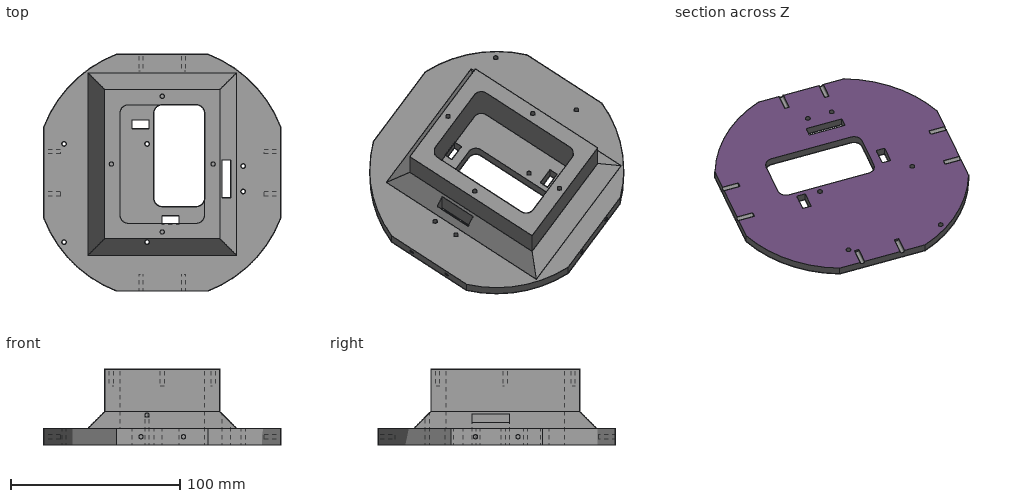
import cadquery as cq
import math

plate_width = 140.0
plate_flat_length = 53.8
plate_radius = math.hypot(plate_width / 2, plate_flat_length / 2)
plate_thickness = 10.0

collar_center_y = 5.0
pocket_width = 50.0
pocket_length = 70.0
pocket_corner_radius = 5.0
collar_wall = 9.0
collar_width = pocket_width + 2 * collar_wall
collar_length = pocket_length + 2 * collar_wall
collar_height = 25.0
skirt_overhang = 10.0
skirt_height = 10.0
skirt_top = plate_thickness + skirt_height
collar_top = skirt_top + collar_height

window_width = 30.0
window_right = pocket_width / 2
window_rear = collar_center_y + pocket_length / 2
window_length = 60.0

slot_length = 10.0
slot_width = 5.0
rear_slot_center = (-12.9, 28.4)
front_slot_center = (4.9, -28.0)
side_slot_length = 22.1
side_slot_center = (37.8, -3.6)

hole_diameter = 2.5
blind_hole_depth = 10.0
board_hole_center = (-33.5, -12.0)
board_hole_pitch_x = 49.0
board_hole_pitch_y = 58.0
bracket_hole_x = 47.7
bracket_hole_pitch = 15.0
edge_hole_pitch = 25.0
rim_hole_inset = 5.0


def upright_box(width, length, height, center, bottom):
    """Box centred on a point in XY and standing on the given level."""
    return (
        cq.Workplane("XY", origin=(*center, bottom))
        .rect(width, length)
        .extrude(height)
    )


def make_plate():
    disc = cq.Workplane("XY").circle(plate_radius).extrude(plate_thickness)
    square = upright_box(plate_width, plate_width, plate_thickness, (0, 0), 0)
    return disc.intersect(square)


def make_skirt():
    return (
        cq.Workplane("XY", origin=(0, collar_center_y, plate_thickness))
        .rect(collar_width + 2 * skirt_overhang, collar_length + 2 * skirt_overhang)
        .workplane(offset=skirt_height)
        .rect(collar_width, collar_length)
        .loft(ruled=True)
    )


def make_pocket():
    depth = collar_top - plate_thickness
    pocket = upright_box(pocket_width, pocket_length, depth, (0, collar_center_y), plate_thickness)
    return pocket.edges("|Z").fillet(pocket_corner_radius)


def make_window():
    center = (window_right - window_width / 2, window_rear - window_length / 2)
    window = upright_box(window_width, window_length, plate_thickness, center, 0)
    return window.edges("|Z").fillet(pocket_corner_radius)


def make_slots():
    rear_slot = upright_box(slot_length, slot_width, plate_thickness, rear_slot_center, 0)
    front_slot = upright_box(slot_length, slot_width, plate_thickness, front_slot_center, 0)
    side_slot = upright_box(slot_width, side_slot_length, skirt_top, side_slot_center, 0)
    return rear_slot.union(front_slot).union(side_slot)


def make_through_holes():
    """Vertical holes for the board (2 x 2) and for the bracket beside the side slot."""
    board_holes = (
        cq.Workplane("XY")
        .center(*board_hole_center)
        .rarray(board_hole_pitch_x, board_hole_pitch_y, 2, 2)
        .circle(hole_diameter / 2)
        .extrude(skirt_top)
    )
    bracket_holes = (
        cq.Workplane("XY")
        .center(bracket_hole_x, side_slot_center[1])
        .rarray(1.4, bracket_hole_pitch, 1, 2)
        .circle(hole_diameter / 2)
        .extrude(skirt_top)
    )
    return board_holes.union(bracket_holes)


def make_rim_holes():
    """Blind holes centred along each collar wall, drilled from the top."""
    offset_x = pocket_width / 2 + rim_hole_inset
    offset_y = pocket_length / 2 + rim_hole_inset
    hole_centers = [(offset_x, 0), (-offset_x, 0), (0, offset_y), (0, -offset_y)]
    return (
        cq.Workplane("XY", origin=(0, collar_center_y, collar_top))
        .pushPoints(hole_centers)
        .circle(hole_diameter / 2)
        .extrude(-blind_hole_depth)
    )


def make_edge_holes(angle):
    """Pair of blind holes in one flat side of the plate, turned about Z from the -Y side."""
    return (
        cq.Workplane("XZ", origin=(0, -plate_width / 2, plate_thickness / 2))
        .rarray(edge_hole_pitch, 1.4, 2, 1)
        .circle(hole_diameter / 2)
        .extrude(-blind_hole_depth)
        .rotate((0, 0, 0), (0, 0, 1), angle)
    )


collar = upright_box(collar_width, collar_length, collar_height, (0, collar_center_y), skirt_top)
result = make_plate().union(make_skirt()).union(collar)
result = result.cut(make_pocket()).cut(make_window()).cut(make_slots())
result = result.cut(make_through_holes()).cut(make_rim_holes())
for side_angle in (0, 90, 180, 270):
    result = result.cut(make_edge_holes(side_angle))